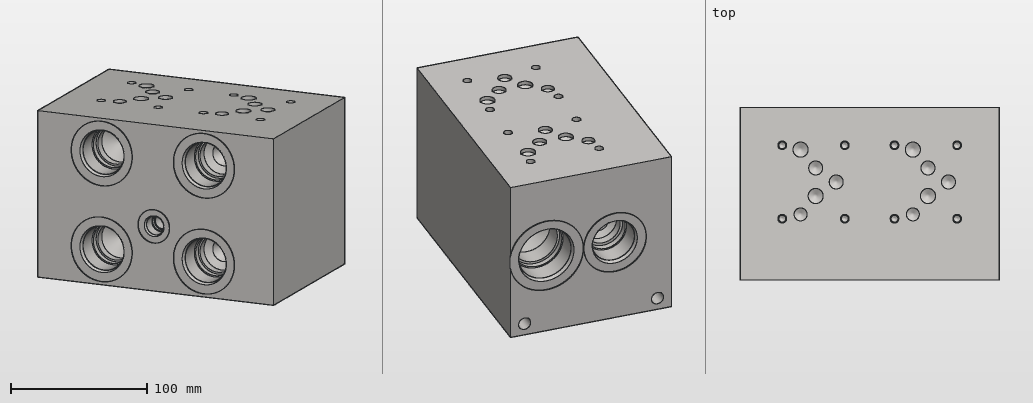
import math

import cadquery as cq

LENGTH = 190.5
WIDTH = 127.0
HEIGHT = 127.0

DRILL_POINT_ANGLE = 118.0

FROM_FRONT = cq.Vector(0, 1, 0)
FROM_LEFT = cq.Vector(1, 0, 0)
FROM_TOP = cq.Vector(0, 0, -1)

SPOTFACE_DEPTH = 0.8
LARGE_PORT = dict(
    spotface=58.0, cone_top=43.6, cone_bottom=41.6, cone_depth=3.3,
    thread=41.28, thread_depth=20.0, tap_drill=39.22, tap_depth=24.5,
)
MEDIUM_PORT = dict(
    spotface=49.2, cone_top=35.51, cone_bottom=33.76, cone_depth=3.3,
    thread=33.34, thread_depth=20.0, tap_drill=31.27, tap_depth=25.0,
)
GAUGE_PORT = dict(
    spotface=25.4, cone_top=15.7, cone_bottom=14.5, cone_depth=2.5,
    thread=14.29, thread_depth=12.7, tap_drill=12.9, tap_depth=15.5,
)

PATTERN_PITCH = 82.55
PATTERN_X = 30.9
PATTERN_Y = 72.2
BOLT_SPACING_X = 46.0
BOLT_SPACING_Y = 54.0
BOLT_THREAD = 6.35
BOLT_TAP_DRILL = 5.11
BOLT_THREAD_DEPTH = 13.0
BOLT_TAP_DEPTH = 16.0
VALVE_HOLE_DEPTH = 3.0
PRESSURE_DIAMETER = 10.31
PRESSURE_X = 39.7
WORK_A_DIAMETER = 10.31
WORK_B_DIAMETER = 11.12
WORK_X = 24.6
WORK_Y = 10.3
TANK_A_DIAMETER = 11.12
TANK_B_DIAMETER = 9.53
TANK_X = 13.5
TANK_Y = 23.8

PORT_A_Z = 26.97
PORT_B_Z = HEIGHT - PORT_A_Z
WORK_PORT_X = 51.59
WORK_PASSAGE = 28.57

PASSAGE_DEPTH = 32.0
TAPER_DIAMETER = 17.46
TAPER_END_DEPTH = 68.0

GAUGE_X = 93.66
GAUGE_Z = 49.23
GAUGE_PASSAGE = 11.12
GAUGE_DEPTH = 25.0

SUPPLY_Z = HEIGHT / 2
TANK_EDGE_DISTANCE = 28.57
TANK_PORT_Y = WIDTH - TANK_EDGE_DISTANCE
PRESSURE_PORT_Y = 44.45
PRESSURE_PASSAGE = 27.0
TANK_PASSAGE = 35.71
TANK_PASSAGE_DEPTH = 40.0

MOUNT_INSET_Y = 11.1
MOUNT_Z = 9.53
MOUNT_THREAD = 9.53
MOUNT_TAP_DRILL = 7.92
MOUNT_THREAD_DEPTH = 19.0
MOUNT_TAP_DEPTH = 24.0


def point_length(diameter):
    """Length of a drill point of the given diameter."""
    return diameter / 2 / math.tan(math.radians(DRILL_POINT_ANGLE / 2))


def bore(mouth, direction, steps):
    """Stepped bore around an axis, closed by a drill point unless it tapers to a tip.

    Each step is (top diameter, bottom diameter, bottom depth), from the mouth inwards.
    """
    outline = [(0, 0)]
    depth = 0
    for top_diameter, bottom_diameter, bottom_depth in steps:
        step_start = (top_diameter / 2, depth)
        if step_start != outline[-1]:
            outline.append(step_start)
        outline.append((bottom_diameter / 2, bottom_depth))
        depth = bottom_depth
    last_diameter = steps[-1][1]
    if last_diameter > 0:
        outline.append((0, depth + point_length(last_diameter)))
    side = cq.Vector(1, 0, 0) if direction.x == 0 else cq.Vector(0, 1, 0)
    plane = cq.Plane(origin=mouth, xDir=side, normal=side.cross(direction))
    return cq.Workplane(plane).polyline(outline).close().revolve(360, (0, 0), (0, 1))


def drilled(mouth, direction, diameter, depth):
    return bore(mouth, direction, [(diameter, diameter, depth)])


def tapped(mouth, direction, thread, thread_depth, tap_drill, tap_depth):
    return bore(mouth, direction, [(thread, thread, thread_depth), (tap_drill, tap_drill, tap_depth)])


def port(mouth, direction, size, passage, passage_depth, tapered=False):
    """Threaded port and its drilled passage, with a taper through the drill point if asked for."""
    steps = [
        (size["spotface"], size["spotface"], SPOTFACE_DEPTH),
        (size["cone_top"], size["cone_bottom"], SPOTFACE_DEPTH + size["cone_depth"]),
        (size["thread"], size["thread"], size["thread_depth"]),
        (size["tap_drill"], size["tap_drill"], size["tap_depth"]),
        (passage, passage, passage_depth),
    ]
    if tapered:
        taper_start = passage_depth + point_length(passage) - point_length(TAPER_DIAMETER)
        steps.append((passage, TAPER_DIAMETER, taper_start))
        steps.append((TAPER_DIAMETER, 0, TAPER_END_DEPTH))
    return bore(mouth, direction, steps)


def valve_pattern(x, y):
    """Bolt holes and passages of one valve; (x, y) is the middle of its left bolt pair."""
    cutters = []
    for bolt_x in (x, x + BOLT_SPACING_X):
        for bolt_y in (y - BOLT_SPACING_Y / 2, y + BOLT_SPACING_Y / 2):
            cutters.append(tapped(
                (bolt_x, bolt_y, HEIGHT), FROM_TOP,
                BOLT_THREAD, BOLT_THREAD_DEPTH, BOLT_TAP_DRILL, BOLT_TAP_DEPTH,
            ))
    valve_holes = [
        (PRESSURE_X, 0, PRESSURE_DIAMETER),
        (WORK_X, WORK_Y, WORK_A_DIAMETER),
        (WORK_X, -WORK_Y, WORK_B_DIAMETER),
        (TANK_X, TANK_Y, TANK_A_DIAMETER),
        (TANK_X, -TANK_Y, TANK_B_DIAMETER),
    ]
    for offset_x, offset_y, diameter in valve_holes:
        cutters.append(drilled((x + offset_x, y + offset_y, HEIGHT), FROM_TOP, diameter, VALVE_HOLE_DEPTH))
    return cutters


def front_ports():
    cutters = [port((GAUGE_X, 0, GAUGE_Z), FROM_FRONT, GAUGE_PORT, GAUGE_PASSAGE, GAUGE_DEPTH)]
    for z in (PORT_A_Z, PORT_B_Z):
        for x, tapered in ((WORK_PORT_X, False), (WORK_PORT_X + PATTERN_PITCH, True)):
            cutters.append(port(
                (x, 0, z), FROM_FRONT, MEDIUM_PORT, WORK_PASSAGE, PASSAGE_DEPTH, tapered,
            ))
    return cutters


def left_ports():
    tank_mouth = (0, TANK_PORT_Y, SUPPLY_Z)
    pressure_mouth = (0, PRESSURE_PORT_Y, SUPPLY_Z)
    return [
        port(tank_mouth, FROM_LEFT, LARGE_PORT, TANK_PASSAGE, TANK_PASSAGE_DEPTH),
        port(pressure_mouth, FROM_LEFT, MEDIUM_PORT, PRESSURE_PASSAGE, PASSAGE_DEPTH, tapered=True),
    ]


def mounting_holes():
    cutters = []
    for y in (MOUNT_INSET_Y, WIDTH - MOUNT_INSET_Y):
        cutters.append(tapped(
            (0, y, MOUNT_Z), FROM_LEFT,
            MOUNT_THREAD, MOUNT_THREAD_DEPTH, MOUNT_TAP_DRILL, MOUNT_TAP_DEPTH,
        ))
    return cutters


result = cq.Workplane("XY").box(LENGTH, WIDTH, HEIGHT, centered=False)
cutters = front_ports() + left_ports() + mounting_holes()
for pattern_x in (PATTERN_X, PATTERN_X + PATTERN_PITCH):
    cutters += valve_pattern(pattern_x, PATTERN_Y)
for cutter in cutters:
    result = result.cut(cutter)